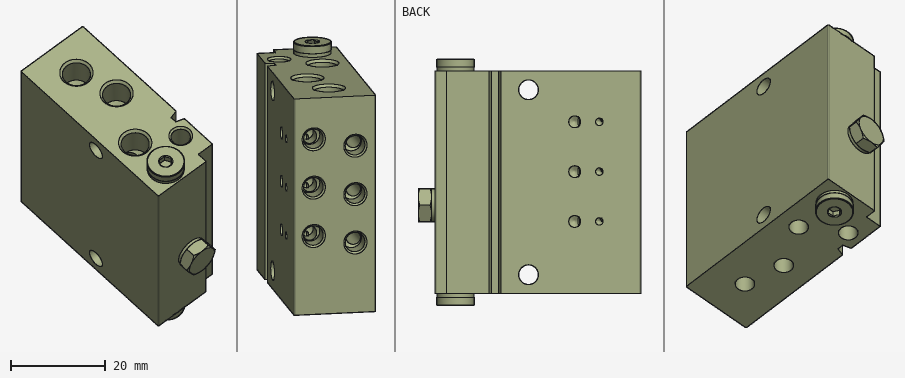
import cadquery as cq
import math


LENGTH = 43.5
THICKNESS = 17.5
HEIGHT = 47.0
STEP_LENGTH = 2.5
STEP_DEPTH = 4.0
GROOVE_X = 30.85
GROOVE_TOP_WIDTH = 2.6
GROOVE_FLOOR_WIDTH = 1.45
GROOVE_DEPTH = 1.9
EDGE_RADIUS = 0.2

DRILL_TIP_ANGLE = 118
TIP_SLOPE = math.tan(math.radians(DRILL_TIP_ANGLE / 2))
BORE_DIAMETER = 4.1

MAIN_PORTS = [
    ((8.1, 8.5), (9.15, 8.5)),
    ((17.75, 11.25), (18.7, 10.65)),
    ((29.9, 5.6), (29.0, 5.2)),
]
MAIN_PORT_DIAMETER = 5.95
MAIN_PORT_MOUTH = 7.0
MAIN_PORT_DEPTH = 6.75

PILOT_X = 35.0
PILOT_Y = 13.95
PILOT_MOUTH = 5.0

MOUNT_X = 23.75
MOUNT_INSET = 4.0

SIDE_PORT_COUNT = 3
SIDE_PORT_PITCH = 10.5
SIDE_PORT_DIAMETER = 4.2
SIDE_PORT_MOUTH = 5.0
SIDE_PORT_DEPTH = 4.15
PASSAGE_DIAMETER = 3.0
PASSAGE_OFFSET = 0.4
REAR_COLUMN_Y = 13.3
REAR_COLUMN_TOP_Z = 38.05
FRONT_COLUMN_Y = 4.35
FRONT_COLUMN_TOP_Z = 36.25

REAR_PASSAGE_DEPTH = 8.3
REAR_DRILL_DIAMETER = 1.55
REAR_DRILL_X = 8.85
REAR_DRILL_END_Y = 13.0
FRONT_PASSAGE_DEPTH = 13.0
FRONT_DRILL_DIAMETER = 2.5
FRONT_DRILL_X = 14.05
FRONT_DRILL_END_Y = 3.3

PLUG_X = 39.15
PLUG_Y = 6.0
PLUG_HEIGHT = 2.5
PLUG_DIAMETER = 8.0
PLUG_CHAMFER = 0.15
COLLAR_DIAMETER = 7.9
COLLAR_HEIGHT = 0.8
SOCKET_FLATS = 2.5
SOCKET_MOUTH = 3.0
SOCKET_DEPTH = 1.55

SCREW_Y = 9.2
SCREW_Z = 18.65
SCREW_TIP_X = 20.0
SHANK_DIAMETER = 2.5
SCREW_COLLAR_LENGTH = 0.7
HEX_FLATS = 7.0
HEX_LENGTH = 2.8
HEX_CHAMFER_ANGLE = 30

HEX_SIDES = 6
HEX_CORNER_RATIO = 1 / math.cos(math.pi / HEX_SIDES)

UP = cq.Vector(0, 0, 1)
DOWN = cq.Vector(0, 0, -1)
ALONG_X = cq.Vector(1, 0, 0)
ALONG_Y = cq.Vector(0, 1, 0)
AGAINST_Y = cq.Vector(0, -1, 0)


def rod(diameter, length, start, direction):
    return cq.Solid.makeCylinder(diameter / 2, length, cq.Vector(*start), direction)


def cone_tip(diameter, start, direction):
    radius = diameter / 2
    return cq.Solid.makeCone(radius, 0, radius / TIP_SLOPE, cq.Vector(*start), direction)


def pointed_drilling(diameter, depth, start, direction):
    """Straight drilling of the given depth that ends in a drill-point cone."""
    end = (cq.Vector(*start) + direction * depth).toTuple()
    return rod(diameter, depth, start, direction).fuse(cone_tip(diameter, end, direction))


def mouth_chamfer(mouth, diameter, start, direction):
    depth = (mouth - diameter) / 2
    return cq.Solid.makeCone(mouth / 2, diameter / 2, depth, cq.Vector(*start), direction)


def block_body():
    profile = [
        (0, 0),
        (LENGTH, 0),
        (LENGTH, THICKNESS - STEP_DEPTH),
        (LENGTH - STEP_LENGTH, THICKNESS - STEP_DEPTH),
        (LENGTH - STEP_LENGTH, THICKNESS),
        (GROOVE_X + GROOVE_TOP_WIDTH / 2, THICKNESS),
        (GROOVE_X + GROOVE_FLOOR_WIDTH / 2, THICKNESS - GROOVE_DEPTH),
        (GROOVE_X - GROOVE_FLOOR_WIDTH / 2, THICKNESS - GROOVE_DEPTH),
        (GROOVE_X - GROOVE_TOP_WIDTH / 2, THICKNESS),
        (0, THICKNESS),
    ]
    body = cq.Workplane("XY").polyline(profile).close().extrude(HEIGHT)
    return body.edges("|Z and (<X or >X)").fillet(EDGE_RADIUS)


def main_port_cuts():
    cuts = []
    for (port_x, port_y), (bore_x, bore_y) in MAIN_PORTS:
        mouth = (port_x, port_y, HEIGHT)
        cuts.append(mouth_chamfer(MAIN_PORT_MOUTH, MAIN_PORT_DIAMETER, mouth, DOWN))
        cuts.append(pointed_drilling(MAIN_PORT_DIAMETER, MAIN_PORT_DEPTH, mouth, DOWN))
        cuts.append(rod(BORE_DIAMETER, HEIGHT - MAIN_PORT_DEPTH, (bore_x, bore_y, 0), UP))
    return cuts


def pilot_hole_cuts():
    mouth = (PILOT_X, PILOT_Y, HEIGHT)
    return [
        mouth_chamfer(PILOT_MOUTH, BORE_DIAMETER, mouth, DOWN),
        rod(BORE_DIAMETER, HEIGHT, mouth, DOWN),
    ]


def mounting_hole_cuts():
    heights = (MOUNT_INSET, HEIGHT - MOUNT_INSET)
    return [rod(BORE_DIAMETER, THICKNESS, (MOUNT_X, 0, z), ALONG_Y) for z in heights]


def side_port_cuts(y, z):
    mouth = (0, y, z)
    return [
        mouth_chamfer(SIDE_PORT_MOUTH, SIDE_PORT_DIAMETER, mouth, ALONG_X),
        pointed_drilling(SIDE_PORT_DIAMETER, SIDE_PORT_DEPTH, mouth, ALONG_X),
    ]


def back_drilling(diameter, x, z, end_y):
    return pointed_drilling(diameter, THICKNESS - end_y, (x, THICKNESS, z), AGAINST_Y)


def side_column_cuts():
    cuts = []
    for row in range(SIDE_PORT_COUNT):
        rear_z = REAR_COLUMN_TOP_Z - row * SIDE_PORT_PITCH
        front_z = FRONT_COLUMN_TOP_Z - row * SIDE_PORT_PITCH
        cuts += side_port_cuts(REAR_COLUMN_Y, rear_z)
        cuts += side_port_cuts(FRONT_COLUMN_Y, front_z)

        rear_start = (0, REAR_COLUMN_Y, rear_z - PASSAGE_OFFSET)
        front_start = (0, FRONT_COLUMN_Y - PASSAGE_OFFSET, front_z)
        cuts.append(pointed_drilling(PASSAGE_DIAMETER, REAR_PASSAGE_DEPTH, rear_start, ALONG_X))
        cuts.append(pointed_drilling(PASSAGE_DIAMETER, FRONT_PASSAGE_DEPTH, front_start, ALONG_X))

        cuts.append(back_drilling(REAR_DRILL_DIAMETER, REAR_DRILL_X, front_z, REAR_DRILL_END_Y))
        cuts.append(back_drilling(FRONT_DRILL_DIAMETER, FRONT_DRILL_X, front_z, FRONT_DRILL_END_Y))
    return cuts


def screw_shank():
    return rod(SHANK_DIAMETER, LENGTH - SCREW_TIP_X, (SCREW_TIP_X, SCREW_Y, SCREW_Z), ALONG_X)


def make_block():
    block = block_body()
    cuts = main_port_cuts() + pilot_hole_cuts() + mounting_hole_cuts()
    cuts += side_column_cuts() + [screw_shank()]
    for cut in cuts:
        block = block.cut(cq.Workplane(obj=cut))
    return block


def make_plug():
    """Plug head standing on the XY plane, with a hexagon socket in its upper end."""
    collar = cq.Workplane("XY").circle(COLLAR_DIAMETER / 2).extrude(COLLAR_HEIGHT)
    head = (
        cq.Workplane("XY", origin=(0, 0, COLLAR_HEIGHT))
        .circle(PLUG_DIAMETER / 2)
        .extrude(PLUG_HEIGHT - COLLAR_HEIGHT)
        .faces(">Z")
        .edges()
        .chamfer(PLUG_CHAMFER)
    )
    socket = (
        cq.Workplane("XY", origin=(0, 0, PLUG_HEIGHT))
        .transformed(rotate=(0, 0, 90))
        .polygon(HEX_SIDES, SOCKET_FLATS * HEX_CORNER_RATIO)
        .extrude(-SOCKET_DEPTH)
    )
    countersink = mouth_chamfer(SOCKET_MOUTH, SOCKET_FLATS, (0, 0, PLUG_HEIGHT), DOWN)
    return collar.union(head).cut(socket).cut(cq.Workplane(obj=countersink))


def make_screw():
    """Hexagon-head screw along X, its shank filling the hole in the block's right face."""
    axis = (SCREW_Y, SCREW_Z)
    hex_start = LENGTH + SCREW_COLLAR_LENGTH
    hex_end = hex_start + HEX_LENGTH
    corners = HEX_FLATS * HEX_CORNER_RATIO
    head = cq.Workplane("YZ", origin=(hex_start, *axis)).polygon(HEX_SIDES, corners).extrude(HEX_LENGTH)

    end_radius = HEX_FLATS / 2
    bevel = (corners / 2 - end_radius) * math.tan(math.radians(HEX_CHAMFER_ANGLE))
    envelope = (
        cq.Workplane("XY", origin=(0, *axis))
        .polyline([
            (hex_start, 0),
            (hex_start, end_radius),
            (hex_start + bevel, corners / 2),
            (hex_end - bevel, corners / 2),
            (hex_end, end_radius),
            (hex_end, 0),
        ])
        .close()
        .revolve(360, (0, 0, 0), (1, 0, 0))
    )
    collar = rod(HEX_FLATS, SCREW_COLLAR_LENGTH, (LENGTH, *axis), ALONG_X)
    shank = screw_shank()
    return head.intersect(envelope).union(cq.Workplane(obj=collar)).union(cq.Workplane(obj=shank))


block = make_block()
screw = make_screw()

plugs = []
for face_z, turn in [(HEIGHT, 0), (0, 180)]:
    plug = make_plug().rotate((0, 0, 0), (1, 0, 0), turn).translate((PLUG_X, PLUG_Y, face_z))
    plugs.append(plug.val())

result = cq.Compound.makeCompound([block.val(), *plugs, screw.val()])